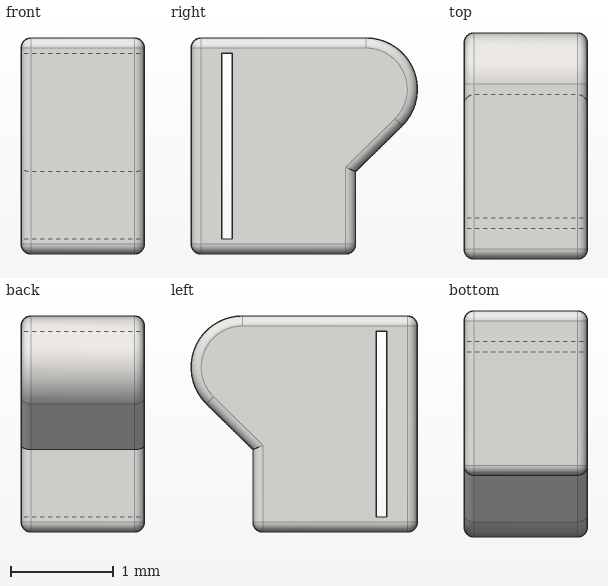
import cadquery as cq
import math

width = 1.2
length = 2.2
height = 2.1

foot_length = 1.6
nose_radius = 0.5
underside_angle = math.radians(44.5)
edge_radius = 0.1

slot_width = 0.1
slot_front = 0.3
slot_end_margin = 0.15

nose_y = length - nose_radius
nose_z = height - nose_radius
tangent_y = nose_y + nose_radius * math.sin(underside_angle)
tangent_z = nose_z - nose_radius * math.cos(underside_angle)
corner_z = tangent_z - (tangent_y - foot_length) * math.tan(underside_angle)


def make_body():
    """Extrude the side profile across X and round every edge."""
    profile = (
        cq.Workplane("YZ")
        .lineTo(foot_length, 0)
        .lineTo(foot_length, corner_z)
        .lineTo(tangent_y, tangent_z)
        .threePointArc((length, nose_z), (nose_y, height))
        .lineTo(0, height)
        .close()
    )
    body = profile.extrude(width / 2, both=True)
    side_edges = body.faces("<X or >X").edges()
    front_and_bottom_edges = body.faces("<Y or <Z").edges("|X")
    return body.newObject(side_edges.vals() + front_and_bottom_edges.vals()).fillet(edge_radius)


def make_slot():
    """Tall narrow cutter reaching through both sides."""
    slot_height = height - 2 * slot_end_margin
    return (
        cq.Workplane("XY")
        .box(width, slot_width, slot_height, centered=(True, False, False))
        .translate((0, slot_front, slot_end_margin))
    )


result = make_body().cut(make_slot())